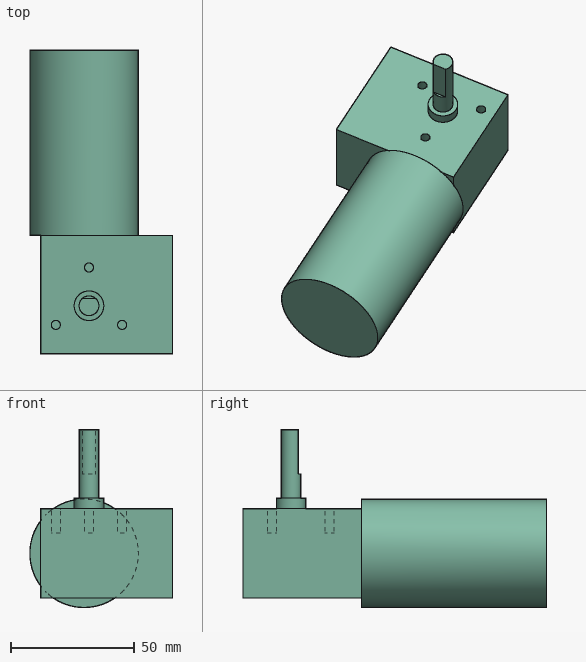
import cadquery as cq
import math

motor_diameter = 44.0
motor_length = 75.0

box_width = 53.5
box_length = 48.0
box_right = 35.9
box_top = 18.15
box_height = 36.3

shaft_x = 2.0
shaft_y = -28.5
shaft_diameter = 8.0
shaft_height = 32.0
flat_length = 18.0
flat_thickness = 7.0
boss_diameter = 12.0
boss_height = 4.2

hole_diameter = 3.67
hole_circle_radius = 15.5
hole_count = 3
first_hole_angle = 90.0
hole_depth = 10.0


def make_motor():
    """Plain cylinder running from the gearbox face toward +Y."""
    return cq.Workplane("XZ").circle(motor_diameter / 2).extrude(-motor_length)


def make_gearbox():
    """Rectangular housing in front of the motor."""
    corner = (box_right - box_width, -box_length, box_top - box_height)
    return cq.Workplane("XY").box(box_width, box_length, box_height, centered=False).translate(corner)


def make_boss():
    """Round collar on top of the gearbox."""
    return (
        cq.Workplane("XY", origin=(shaft_x, shaft_y, box_top))
        .circle(boss_diameter / 2)
        .extrude(boss_height)
    )


def make_shaft():
    """Output shaft with the flat cut along its upper part."""
    shaft = (
        cq.Workplane("XY", origin=(shaft_x, shaft_y, box_top))
        .circle(shaft_diameter / 2)
        .extrude(shaft_height)
    )
    flat_y = shaft_y - shaft_diameter / 2 + flat_thickness
    flat_bottom = box_top + shaft_height - flat_length
    flat_cut = (
        cq.Workplane("XY")
        .box(shaft_diameter, shaft_diameter, flat_length, centered=(True, False, False))
        .translate((shaft_x, flat_y, flat_bottom))
    )
    return shaft.cut(flat_cut)


def make_mounting_holes():
    """Cylinders to be removed from the top of the gearbox."""
    centres = []
    for index in range(hole_count):
        angle = math.radians(first_hole_angle + index * 360.0 / hole_count)
        x_offset = hole_circle_radius * math.cos(angle)
        y_offset = hole_circle_radius * math.sin(angle)
        centres.append((x_offset, y_offset))
    return (
        cq.Workplane("XY", origin=(shaft_x, shaft_y, box_top))
        .pushPoints(centres)
        .circle(hole_diameter / 2)
        .extrude(-hole_depth)
    )


gearbox = make_gearbox().cut(make_mounting_holes())
result = make_motor().union(gearbox).union(make_boss()).union(make_shaft())